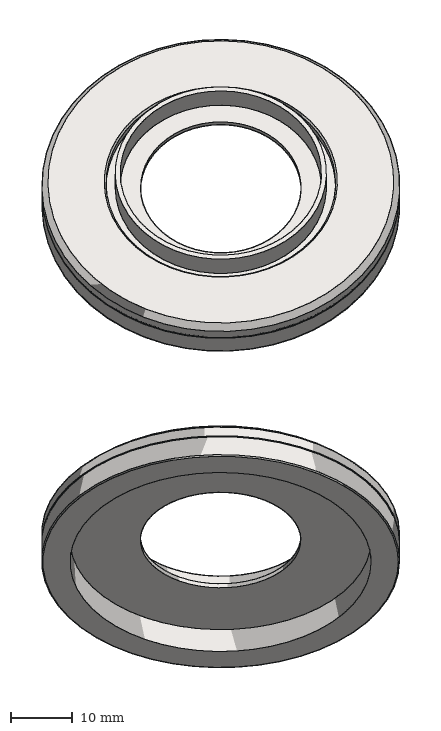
import cadquery as cq

outer_diameter = 58.0
total_height = 9.2

base_height = 4.0
base_bore_diameter = 48.8
base_edge_chamfer = 0.205

flange_diameter = 53.3
flange_bore_diameter = 26.0
flange_top = 5.2
collar_outer_diameter = 34.2
collar_wall = 0.8

cover_top = 6.7
cover_bore_diameter = 37.2
cover_outer_chamfer = 1.0
cover_bore_chamfer = 0.3

collar_inner_diameter = collar_outer_diameter - 2 * collar_wall
flange_bottom = flange_top - collar_wall


def cylinder(diameter, bottom, top):
    """Upright cylinder on the Z axis between two heights."""
    return cq.Workplane("XY").workplane(offset=bottom).circle(diameter / 2).extrude(top - bottom)


def cone(bottom_diameter, bottom, height):
    """Upright 45 degree cone on the Z axis that widens upward."""
    bottom_radius = bottom_diameter / 2
    solid = cq.Solid.makeCone(bottom_radius, bottom_radius + height, height, pnt=cq.Vector(0, 0, bottom))
    return cq.Workplane("XY").add(solid)


def make_base_ring():
    """Lower ring with both outer edges broken and a lip that lifts the flange."""
    disc = cylinder(outer_diameter, 0, base_height).edges().chamfer(base_edge_chamfer)
    lip = cylinder(flange_diameter, base_height, flange_bottom)
    bore = cylinder(base_bore_diameter, 0, flange_bottom)
    return disc.union(lip).cut(bore)


def make_collar():
    """Thin upright tube on a wide flange with a smaller bore."""
    flange = cylinder(flange_diameter, flange_bottom, flange_top)
    tube = cylinder(collar_outer_diameter, flange_top, total_height)
    tube_bore = cylinder(collar_inner_diameter, flange_top, total_height)
    flange_bore = cylinder(flange_bore_diameter, flange_bottom, flange_top)
    return flange.union(tube).cut(tube_bore).cut(flange_bore)


def make_cover_ring():
    """Upper ring with chamfered top edges, recessed below for the lip and the flange."""
    disc = cylinder(outer_diameter, base_height, cover_top)
    disc = disc.faces(">Z").edges().chamfer(cover_outer_chamfer)
    recess = cylinder(flange_diameter, base_height, flange_top)
    bore = cylinder(cover_bore_diameter, flange_top, cover_top)
    bore_mouth = cone(cover_bore_diameter, cover_top - cover_bore_chamfer, cover_bore_chamfer)
    return disc.cut(recess).cut(bore).cut(bore_mouth)


base_ring = make_base_ring()
collar = make_collar()
cover_ring = make_cover_ring()

result = cq.Compound.makeCompound([base_ring.val(), collar.val(), cover_ring.val()])